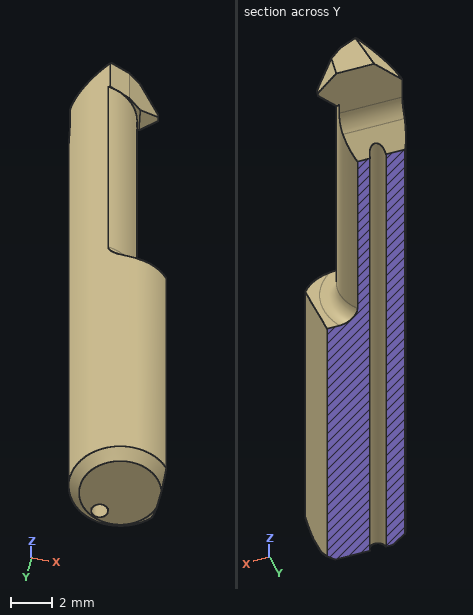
import cadquery as cq
import math

length = 30.0
shank_radius = 2.505
flat_x = 1.935
base_chamfer = 0.5

neck_center_x = -1.5
neck_radius = 2.28
shoulder_z = 15.0
shoulder_fillet = 0.8

head_bottom_z = 27.9
head_corner_x = 0.93
tip_z = (length + head_bottom_z) / 2
tip_apex_x = head_corner_x + (length - head_bottom_z) / 2
tip_round = 0.195
end_relief = math.radians(3)
flank_relief = math.radians(9)
back_chamfer = 1.47
chamfer_relief = math.radians(5.5)
neck_top_z = head_bottom_z + neck_radius * math.tan(end_relief)
heel_x = 0.03
heel_y = -1.8
heel_edge_x = -1.35
heel_edge_y = -2.43
land_depth = 0.12

rake_y = 0.0
ramp_angle = math.radians(40)
ramp_radius = 1.65
ramp_top_z = 27.42

coolant_diameter = 0.8
coolant_x = -0.72
coolant_y = 1.32

margin = 1.5
head_reach = shank_radius + margin


def make_shank():
    """Round shank, chamfered at the base, with a flat along its +X side."""
    shank = cq.Workplane("XY").circle(shank_radius).extrude(length)
    shank = shank.faces("<Z").chamfer(base_chamfer)
    flat_width = 2 * shank_radius
    beyond_flat = (
        cq.Workplane("XY")
        .box(flat_width, flat_width, length, centered=(False, True, False))
        .translate((flat_x, 0, 0))
    )
    return shank.cut(beyond_flat)


def neck_envelope():
    """Revolved body that bounds the shank, the shoulder fillet and the neck."""
    outer_radius = 2 * shank_radius
    flare_radius = neck_radius + shoulder_fillet
    arc_step = shoulder_fillet * (1 - math.sqrt(0.5))
    return (
        cq.Workplane("XZ")
        .lineTo(outer_radius, 0)
        .lineTo(outer_radius, shoulder_z)
        .lineTo(flare_radius, shoulder_z)
        .threePointArc(
            (neck_radius + arc_step, shoulder_z + arc_step),
            (neck_radius, shoulder_z + shoulder_fillet),
        )
        .lineTo(neck_radius, neck_top_z)
        .lineTo(0, neck_top_z)
        .close()
        .revolve(360, (0, 0, 0), (0, 1, 0))
        .translate((neck_center_x, 0, 0))
    )


def head_outline(depth):
    """Corners of the head in XZ, shrunk by the relief at a depth below the rake face."""
    end_inset = depth * math.tan(end_relief)
    flank_inset = depth * math.tan(flank_relief)
    apex_x = tip_apex_x - flank_inset * math.sqrt(2)
    top_z = length - end_inset
    bottom_z = head_bottom_z + end_inset
    chamfer_inset = depth * math.tan(chamfer_relief)
    chamfer_top_x = back_chamfer - shank_radius + chamfer_inset - end_inset
    return [
        (chamfer_top_x - (top_z - bottom_z), bottom_z),
        (apex_x - (tip_z - bottom_z), bottom_z),
        (apex_x, tip_z),
        (apex_x - (top_z - tip_z), top_z),
        (chamfer_top_x, top_z),
    ]


def make_head():
    """Pointed head with relieved flanks and a sloping clearance under the tip."""
    depth = rake_y + head_reach
    head = (
        cq.Workplane("XZ", origin=(0, rake_y, 0))
        .polyline(head_outline(0))
        .close()
        .workplane(offset=depth)
        .polyline(head_outline(depth))
        .close()
        .loft(ruled=True)
    )
    mid_apex_x = tip_apex_x - depth / 2 * math.tan(flank_relief) * math.sqrt(2)
    tip = cq.selectors.NearestToPointSelector((mid_apex_x, rake_y - depth / 2, tip_z))
    head = head.edges(tip).fillet(tip_round)
    plan = (
        cq.Workplane("XY")
        .moveTo(-head_reach, head_reach)
        .lineTo(tip_apex_x, head_reach)
        .lineTo(tip_apex_x, -land_depth)
        .lineTo(heel_x, heel_y)
        .lineTo(heel_edge_x, heel_edge_y)
        .lineTo(-head_reach, heel_edge_y)
        .close()
        .extrude(length + margin)
    )
    return head.intersect(plan)


def rake_cut():
    """Space in front of the rake face, ending in a rounded ramp."""
    arc_z = ramp_top_z - ramp_radius * math.sin(ramp_angle)
    arc_y = rake_y + ramp_radius * (1 - math.cos(ramp_angle))
    mid_z = ramp_top_z - ramp_radius * math.sin(ramp_angle / 2)
    mid_y = rake_y + ramp_radius * (1 - math.cos(ramp_angle / 2))
    end_y = head_reach
    end_z = arc_z - (end_y - arc_y) / math.tan(ramp_angle)
    return (
        cq.Workplane("YZ")
        .moveTo(rake_y, length + margin)
        .lineTo(rake_y, ramp_top_z)
        .threePointArc((mid_y, mid_z), (arc_y, arc_z))
        .lineTo(end_y, end_z)
        .lineTo(end_y, length + margin)
        .close()
        .extrude(2 * shank_radius, both=True)
    )


result = neck_envelope().union(make_head()).intersect(make_shank())
result = result.cut(rake_cut())

coolant_hole = (
    cq.Workplane("XY")
    .center(coolant_x, coolant_y)
    .circle(coolant_diameter / 2)
    .extrude(length)
)
result = result.cut(coolant_hole)